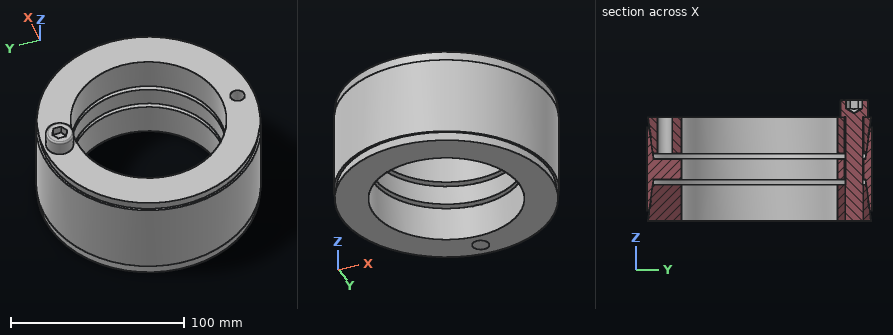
import cadquery as cq
import math

sleeve_diameter = 130.0
bore_diameter = 90.0
total_width = 59.9
ring_exposed_width = 5.8
web_width = 12.0
gap_width = 3.0
ring_face_diameter = 129.0
taper_angle = 8.0

hole_offset = 54.6
jacking_hole_diameter = 8.3
clearance_diameter = 11.0
shank_diameter = 10.0
head_diameter = 16.0
head_height = 10.0
head_rounding = 1.0
socket_width = 8.0
socket_depth = 5.0
socket_cone_angle = 120.0

bore_radius = bore_diameter / 2
sleeve_radius = sleeve_diameter / 2
ring_face_radius = ring_face_diameter / 2
middle_z = total_width / 2
web_bottom = middle_z - web_width / 2
web_top = middle_z + web_width / 2
ring_width = web_bottom - gap_width
sleeve_bottom = ring_exposed_width
sleeve_top = total_width - ring_exposed_width


def cone_radius(depth):
    """Radius of the taper at a given depth below a ring's outer face."""
    return ring_face_radius - depth * math.tan(math.radians(taper_angle))


def revolve_profile(points):
    """Revolve a closed (radius, z) outline about the Z axis."""
    return cq.Workplane("XZ").polyline(points).close().revolve(360, (0, 0, 0), (0, 1, 0))


def cylinder(diameter, y, bottom, top):
    """Upright cylinder on the X = 0 plane."""
    return cq.Workplane("XY", origin=(0, y, bottom)).circle(diameter / 2).extrude(top - bottom)


def make_sleeve():
    """Outer sleeve: a cone opens to each side of the web."""
    mouth_radius = cone_radius(ring_exposed_width)
    root_radius = cone_radius(web_bottom)
    sleeve = revolve_profile([
        (sleeve_radius, sleeve_bottom),
        (sleeve_radius, sleeve_top),
        (mouth_radius, sleeve_top),
        (root_radius, web_top),
        (bore_radius, web_top),
        (bore_radius, web_bottom),
        (root_radius, web_bottom),
        (mouth_radius, sleeve_bottom),
    ])
    return sleeve.cut(cylinder(clearance_diameter, hole_offset, web_bottom, web_top))


def make_thrust_ring(outer_z, inner_z):
    """Tapered ring without holes, widest at its outer face."""
    return revolve_profile([
        (bore_radius, outer_z),
        (ring_face_radius, outer_z),
        (cone_radius(ring_width), inner_z),
        (bore_radius, inner_z),
    ])


def make_front_ring():
    """Upper ring: screw clearance hole and, opposite it, a jacking hole."""
    inner_z = total_width - ring_width
    ring = make_thrust_ring(total_width, inner_z)
    ring = ring.cut(cylinder(clearance_diameter, hole_offset, inner_z, total_width))
    return ring.cut(cylinder(jacking_hole_diameter, -hole_offset, inner_z, total_width))


def make_rear_ring():
    """Lower ring: the hole that holds the screw."""
    ring = make_thrust_ring(0, ring_width)
    return ring.cut(cylinder(shank_diameter, hole_offset, 0, ring_width))


def make_socket(head_top):
    """Hexagonal socket, one corner toward +Y, with a conical bottom."""
    corner_diameter = socket_width / math.cos(math.radians(30))
    corner_radius = corner_diameter / 2
    cone_depth = corner_radius / math.tan(math.radians(socket_cone_angle / 2))
    socket_bottom = head_top - socket_depth - cone_depth
    hexagon = (
        cq.Workplane("XY", origin=(0, hole_offset, socket_bottom))
        .polygon(6, corner_diameter)
        .extrude(head_top - socket_bottom)
        .rotate((0, hole_offset, 0), (0, hole_offset, 1), 30)
    )
    drill = revolve_profile([
        (0, socket_bottom),
        (corner_radius, socket_bottom + cone_depth),
        (corner_radius, head_top),
        (0, head_top),
    ]).translate((0, hole_offset, 0))
    return hexagon.intersect(drill)


def make_screw():
    """Socket head screw: the head rests on the upper ring, the shank reaches the lower face."""
    head_top = total_width + head_height
    head = cylinder(head_diameter, hole_offset, total_width, head_top)
    head = head.faces(">Z").edges().fillet(head_rounding)
    shank = cylinder(shank_diameter, hole_offset, 0, total_width)
    return head.union(shank).cut(make_socket(head_top))


sleeve = make_sleeve()
front_ring = make_front_ring()
rear_ring = make_rear_ring()
screw = make_screw()

bodies = [sleeve, front_ring, rear_ring, screw]
result = cq.Compound.makeCompound([body.solids().val() for body in bodies])